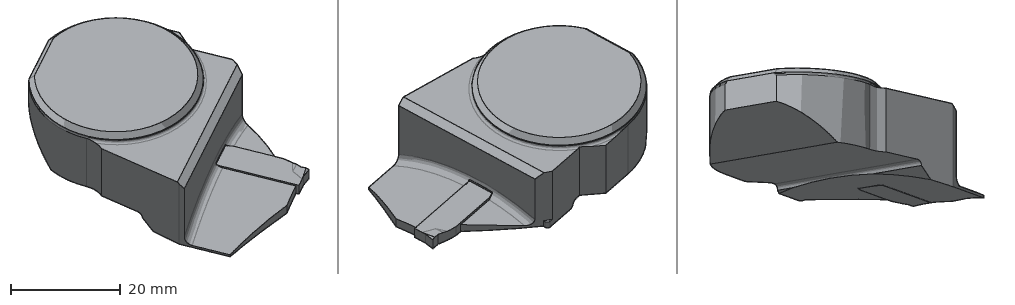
import cadquery as cq
import math


BOSS_RADIUS = 15.9
BOSS_FLAT_X = -14.95
BOSS_CHAMFER = 1.0
SHANK_RADIUS = 16.0
SHOULDER_Z = -1.8
COVE_RADIUS = 0.6
SHANK_BOTTOM_Z = -13.8
TAIL_BEVEL = 7.4

BACK_FLAT_END_X = 6.6
BACK_STEP_Y = 12.6
NECK_ARC_END = (3.35, -17.4)
NECK_ARC_RADIUS = 4.8
SIDE_END_X = 19.65
FRONT_Y = -21.05
BLADE_FRONT_X = 29.5
BLADE_END = (36.4, -9.25)
BACK_CURVE_START_X = 18.05
BACK_CURVE_MIDDLE = (26.85, 5.2)
BACK_CURVE_END_X = 30.6

WALL_X = 20.7
WALL_CHAMFER_LENGTH = 1.35
WALL_CHAMFER_DEPTH = 1.2
WALL_FILLET = 1.5
STEP_X = 10.95
STEP_COVE_RADIUS = 1.0
LEDGE_X = 19.4
LEDGE_WIDTH = 2.0
LEDGE_CORNER_RADIUS = 0.7

UNDERSIDE_RADIUS = 73.8
UNDERSIDE_Y = 0.3
UNDERSIDE_CROWN_Z = -14.3
BLADE_TOP_RADIUS = 39.25
BLADE_TOP_Y = -2.6
BLADE_TOP_CROWN_Z = -12.35

INSERT_BACK_X = 20.9
INSERT_TAPER_END_X = 22.2
INSERT_TAPER = 0.3
INSERT_FRONT_Y = -4.45
INSERT_BACK_Y = 1.2
INSERT_TOP_Z = -12.05
INSERT_BOTTOM_Z = -14.3
INSERT_END_X = 37.0
CURVE_START_X = 31.95
CURVE_MIDDLE = (34.1, 0.7)
TIP_LAND_X = 35.8
OVERALL_LENGTH = 52.35
TIP = (BOSS_FLAT_X + OVERALL_LENGTH, 0.05)
TIP_RELIEF_Y = -1.95

TIP_RISE = 0.3
TIP_BORDER = [(33.9, 0.75), (34.7, -1.35), (37.0, -2.7), TIP]
RAMP_ANGLES = [14, 6.5, 24]

REACH = 104.7


def block(x_range, y_range, z_range):
    """Axis-aligned box between the given limits."""
    return cq.Workplane("XY").box(
        x_range[1] - x_range[0],
        y_range[1] - y_range[0],
        z_range[1] - z_range[0],
        centered=False,
    ).translate((x_range[0], y_range[0], z_range[0]))


def cylinder_along_x(radius, centre_y, crown_z):
    """Long cylinder parallel to X with its highest line at the given Y and Z."""
    return (
        cq.Workplane("YZ", origin=(-REACH, 0, 0))
        .center(centre_y, crown_z - radius)
        .circle(radius)
        .extrude(2 * REACH)
    )


def holder_outline(bottom_z, top_z):
    """Plan outline of shank, head and blade, extruded from bottom_z to top_z."""
    flat_y = math.sqrt(SHANK_RADIUS**2 - BOSS_FLAT_X**2)
    diagonal = math.pi / 4
    round_point = (-SHANK_RADIUS * math.cos(diagonal), SHANK_RADIUS * math.sin(diagonal))
    arc_half_angle = math.asin(NECK_ARC_END[0] / NECK_ARC_RADIUS) / 2
    neck_middle = (
        NECK_ARC_RADIUS * math.sin(arc_half_angle),
        -SHANK_RADIUS - NECK_ARC_RADIUS * (1 - math.cos(arc_half_angle)),
    )
    return (
        cq.Workplane("XY", origin=(0, 0, bottom_z))
        .moveTo(BOSS_FLAT_X, flat_y)
        .threePointArc(round_point, (0, SHANK_RADIUS))
        .lineTo(BACK_FLAT_END_X, SHANK_RADIUS)
        .lineTo(BACK_FLAT_END_X + SHANK_RADIUS - BACK_STEP_Y, BACK_STEP_Y)
        .lineTo(BACK_CURVE_START_X, BACK_STEP_Y)
        .threePointArc(BACK_CURVE_MIDDLE, (BACK_CURVE_END_X, INSERT_BACK_Y))
        .lineTo(BLADE_END[0], INSERT_FRONT_Y)
        .lineTo(*BLADE_END)
        .lineTo(BLADE_FRONT_X, FRONT_Y)
        .lineTo(SIDE_END_X, FRONT_Y)
        .lineTo(*NECK_ARC_END)
        .threePointArc(neck_middle, (0, -SHANK_RADIUS))
        .threePointArc((round_point[0], -round_point[1]), (BOSS_FLAT_X, -flat_y))
        .close()
        .extrude(top_z - bottom_z)
    )


def back_ledge(bottom_z):
    """Round-cornered ledge left standing below the back end of the wall."""
    ledge = block(
        (LEDGE_X - LEDGE_WIDTH, LEDGE_X),
        (BACK_STEP_Y - LEDGE_WIDTH, BACK_STEP_Y),
        (bottom_z, SHANK_BOTTOM_Z),
    )
    return ledge.edges("|Z and >X and >Y").fillet(LEDGE_CORNER_RADIUS)


def boss():
    """Chamfered round boss with a flat on the tail side."""
    disc = cq.Workplane("XY", origin=(0, 0, SHOULDER_Z)).circle(BOSS_RADIUS).extrude(-SHOULDER_Z)
    disc = disc.faces(">Z").chamfer(BOSS_CHAMFER)
    flat_limit = (
        cq.Workplane("XZ", origin=(0, REACH / 2, 0))
        .moveTo(BOSS_FLAT_X, SHOULDER_Z)
        .lineTo(BOSS_FLAT_X, -BOSS_CHAMFER)
        .lineTo(BOSS_FLAT_X + BOSS_CHAMFER, 0)
        .lineTo(BOSS_RADIUS, 0)
        .lineTo(BOSS_RADIUS, SHOULDER_Z)
        .close()
        .extrude(REACH)
    )
    return disc.intersect(flat_limit)


def boss_cove():
    """Flare from the boss wall into the shoulder, trimmed to the holder outline."""
    cove_top_z = SHOULDER_Z + COVE_RADIUS
    cove_drop = COVE_RADIUS * math.sin(math.pi / 4)
    cove_middle = (BOSS_RADIUS + COVE_RADIUS - cove_drop, cove_top_z - cove_drop)
    flare = (
        cq.Workplane("XZ")
        .moveTo(0, SHOULDER_Z)
        .lineTo(0, cove_top_z)
        .lineTo(BOSS_RADIUS, cove_top_z)
        .threePointArc(cove_middle, (BOSS_RADIUS + COVE_RADIUS, SHOULDER_Z))
        .close()
        .revolve(360, (0, 0, 0), (0, 1, 0))
    )
    return flare.intersect(holder_outline(SHOULDER_Z, cove_top_z))


def underside_cut():
    """Space below the shank: tail bevel, flat bottom, cove and sloped step to the head."""
    cove_drop = STEP_COVE_RADIUS * math.sin(math.pi / 4)
    cove_end = (STEP_X + STEP_COVE_RADIUS, SHANK_BOTTOM_Z - STEP_COVE_RADIUS)
    low = SHANK_BOTTOM_Z - TAIL_BEVEL
    return (
        cq.Workplane("XZ", origin=(0, REACH / 2, 0))
        .moveTo(BOSS_FLAT_X - TAIL_BEVEL, SHANK_BOTTOM_Z + 2 * TAIL_BEVEL)
        .lineTo(BOSS_FLAT_X + TAIL_BEVEL, SHANK_BOTTOM_Z)
        .lineTo(STEP_X, SHANK_BOTTOM_Z)
        .threePointArc((STEP_X + cove_drop, cove_end[1] + cove_drop), cove_end)
        .lineTo(cove_end[0] + cove_end[1] - low, low)
        .lineTo(BOSS_FLAT_X - TAIL_BEVEL, low)
        .close()
        .extrude(REACH)
    )


def blade_relief():
    """Space above the blade, rounded where the wall runs down into the blade."""
    half_width = REACH / 4
    relief = block((WALL_X, REACH / 2), (-half_width, half_width), (-half_width, 0))
    relief = relief.cut(cylinder_along_x(BLADE_TOP_RADIUS, BLADE_TOP_Y, BLADE_TOP_CROWN_Z))
    return relief.faces("<X").edges("%CIRCLE").fillet(WALL_FILLET)


def wall_chamfer_cut():
    """Bevel along the top edge of the wall."""
    return (
        cq.Workplane("XZ", origin=(0, REACH / 2, 0))
        .moveTo(WALL_X - WALL_CHAMFER_LENGTH, SHOULDER_Z)
        .lineTo(WALL_X, SHOULDER_Z)
        .lineTo(WALL_X, SHOULDER_Z - WALL_CHAMFER_DEPTH)
        .close()
        .extrude(REACH)
    )


def insert_outline():
    """Plan outline of the insert as a closed wire on its bottom plane."""
    return (
        cq.Workplane("XY", origin=(0, 0, INSERT_BOTTOM_Z))
        .moveTo(INSERT_BACK_X, INSERT_FRONT_Y)
        .lineTo(INSERT_END_X, INSERT_FRONT_Y)
        .lineTo(INSERT_END_X, TIP_RELIEF_Y)
        .lineTo(*TIP)
        .lineTo(TIP_LAND_X, TIP[1])
        .threePointArc(CURVE_MIDDLE, (CURVE_START_X, INSERT_BACK_Y))
        .lineTo(INSERT_TAPER_END_X, INSERT_BACK_Y)
        .lineTo(INSERT_BACK_X, INSERT_BACK_Y - INSERT_TAPER)
        .close()
    )


def ramp(start, end, angle):
    """Wedge that rises to the left of the line from start to end, beginning at the insert top."""
    direction = cq.Vector(end[0] - start[0], end[1] - start[1], 0).normalized()
    left = cq.Vector(0, 0, 1).cross(direction)
    plane = cq.Plane((*start, INSERT_TOP_Z), xDir=left, normal=direction)
    run = REACH / 4
    return (
        cq.Workplane(plane)
        .polyline([(0, 0), (run, 0), (run, run * math.tan(math.radians(angle)))])
        .close()
        .extrude(run, both=True)
    )


def raised_tip():
    """Low chip-breaking pyramid on the working corner of the insert."""
    tip = insert_outline().extrude(INSERT_TOP_Z + TIP_RISE - INSERT_BOTTOM_Z)
    for start, end, angle in zip(TIP_BORDER, TIP_BORDER[1:], RAMP_ANGLES):
        tip = tip.intersect(ramp(start, end, angle))
    return tip


def make_insert():
    """Flat-topped cutting insert with a raised tip."""
    bar = insert_outline().extrude(INSERT_TOP_Z - INSERT_BOTTOM_Z)
    return bar.union(raised_tip())


def make_holder():
    """Holder with the boss, shank, head and curved blade, slotted for the insert."""
    lowest_z = SHANK_BOTTOM_Z - TAIL_BEVEL
    holder = holder_outline(lowest_z, SHOULDER_Z).union(back_ledge(lowest_z))
    holder = holder.cut(underside_cut())
    holder = holder.cut(cylinder_along_x(UNDERSIDE_RADIUS, UNDERSIDE_Y, UNDERSIDE_CROWN_Z))
    holder = holder.cut(blade_relief())
    holder = holder.cut(wall_chamfer_cut())
    holder = holder.union(boss()).union(boss_cove())
    slot = insert_outline().extrude(REACH, both=True)
    return holder.cut(slot)


holder = make_holder()
insert = make_insert()

result = cq.Compound.makeCompound([holder.solids().val(), insert.solids().val()])